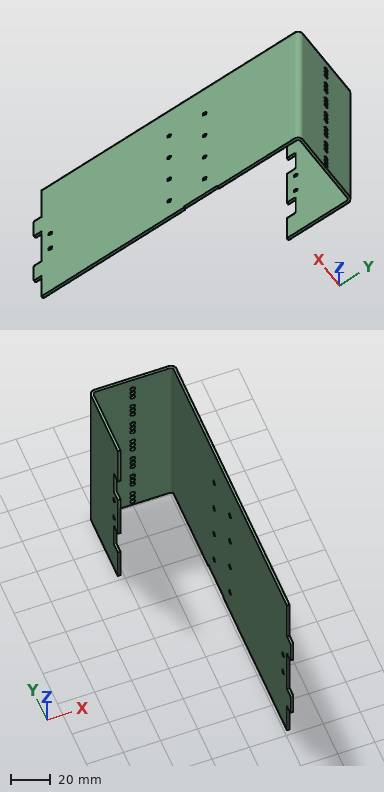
import cadquery as cq

width = 46.0
length = 164.5
height = 107.7

thickness = 1.5
inner_bend_radius = 1.5
outer_bend_radius = inner_bend_radius + thickness

tab_reach = 5.0
short_leg_length = 39.8

joint_mid_height = 51.0
joint_spacing = 45.2
tab_width = 15.0
slot_width = 16.0
slot_depth = 5.5
joint_corner_radius = 1.0
joint_heights = [joint_mid_height + side * joint_spacing / 2 for side in (-1, 1)]

notch_start = 50.7
notch_width = 20.9
notch_depth = 1.0

hole_diameter = 2.5
trio_count = 7
lowest_trio_height = 6.3
highest_trio_height = 96.5
trio_pitch = (highest_trio_height - lowest_trio_height) / (trio_count - 1)
trio_hole_spacing = 3.5

grid_columns = (58.7, 80.6)
grid_rows = 4
grid_bottom = 16.3
grid_pitch = 22.0

long_pair_distance = 154.1
long_pair_spacing = 15.0
short_pair_distance = 34.4
short_pair_spacing = 15.3
short_hole_diameter = 2.3


def leg_block(x, y, z, y_size, z_size):
    """Block one sheet thick in X, starting at x and y and centred on z."""
    return (
        cq.Workplane("XY")
        .box(thickness, y_size, z_size, centered=(False, False, True))
        .translate((x, y, z))
    )


def leg_hole(x, distance, z, diameter):
    """Cutter through a leg that starts at x, at a distance from the back."""
    return (
        cq.Workplane("YZ", origin=(x, length - distance, z))
        .circle(diameter / 2)
        .extrude(thickness)
    )


def bent_sheet():
    """J-shaped section with rounded bends, without the tabs."""
    short_end = length - short_leg_length
    inner_back = length - thickness
    inner_right = width - thickness
    outline = (
        cq.Workplane("XY")
        .moveTo(0, short_end)
        .lineTo(0, length)
        .lineTo(width, length)
        .lineTo(width, tab_reach)
        .lineTo(inner_right, tab_reach)
        .lineTo(inner_right, inner_back)
        .lineTo(thickness, inner_back)
        .lineTo(thickness, short_end)
        .close()
        .extrude(height)
    )
    bent = outline.edges("|Z").edges(">Y").fillet(outer_bend_radius)
    inner_corners = cq.selectors.BoxSelector(
        (thickness / 2, inner_back - thickness / 2, 0),
        (width - thickness / 2, inner_back + thickness / 2, height),
    )
    return bent.edges("|Z").edges(inner_corners).fillet(inner_bend_radius)


long_leg_x = width - thickness
bracket = bent_sheet()

for z in joint_heights:
    tab = leg_block(long_leg_x, 0, z, tab_reach, tab_width)
    bracket = bracket.union(tab.edges("|X and <Y").fillet(joint_corner_radius))
    slot = leg_block(0, length - short_leg_length, z, slot_depth, slot_width)
    bracket = bracket.cut(slot.edges("|X and >Y").fillet(joint_corner_radius))

notch_y = length - notch_start - notch_width
bracket = bracket.cut(leg_block(long_leg_x, notch_y, notch_depth / 2, notch_width, notch_depth))

for trio in range(trio_count):
    for step in (-1, 0, 1):
        z = lowest_trio_height + trio * trio_pitch + step * trio_hole_spacing
        hole = (
            cq.Workplane("XZ", origin=(width / 2, length, z))
            .circle(hole_diameter / 2)
            .extrude(thickness)
        )
        bracket = bracket.cut(hole)

for distance in grid_columns:
    for row in range(grid_rows):
        z = grid_bottom + row * grid_pitch
        bracket = bracket.cut(leg_hole(long_leg_x, distance, z, hole_diameter))

for side in (-1, 1):
    long_z = joint_mid_height + side * long_pair_spacing / 2
    bracket = bracket.cut(leg_hole(long_leg_x, long_pair_distance, long_z, hole_diameter))
    short_z = joint_mid_height + side * short_pair_spacing / 2
    bracket = bracket.cut(leg_hole(0, short_pair_distance, short_z, short_hole_diameter))

result = bracket